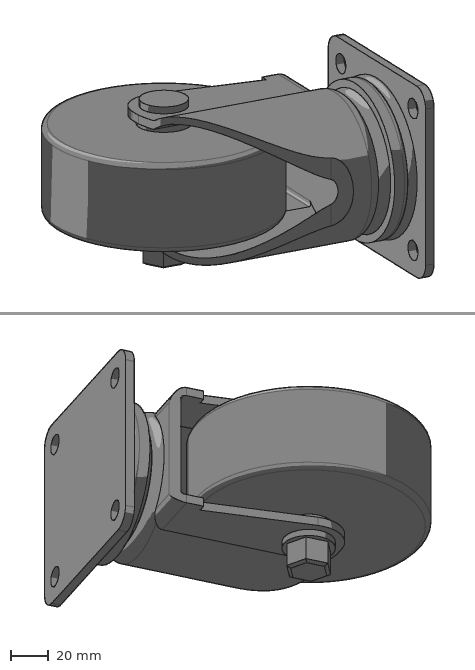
import cadquery as cq
import math


plate_side = 108.0
plate_thickness = 5.1
plate_corner_radius = 10.0
bolt_hole_spacing = 80.0
bolt_hole_diameter = 11.0

total_height = 177.0
wheel_radius = 65.0
wheel_width = 50.1
wheel_edge_radius = 3.0
axle_x = -40.0
axle_y = wheel_radius - total_height

lip_radius = 44.6
groove_radius = 42.3
groove_y = -9.5
race_radius = 44.0
race_shoulder_y = -12.4
race_bottom_y = -18.4
neck_top_radius = 39.6
neck_bottom_radius = 34.7
arc_bulge = 0.7

housing_radius = 41.0
housing_inner_radius = 37.0
housing_top_y = -23.7
housing_edge_radius = 6.9
leg_outer_z = 34.9
leg_thickness = 5.0
leg_inner_z = leg_outer_z - leg_thickness
bend_outer_radius = 7.0
bend_inner_radius = 2.1
bridge_top_y = -28.1
bridge_thickness = 4.0
ceiling_y = bridge_top_y - bridge_thickness

leg_front_x = -54.2
notch_x = -49.5
notch_y = -45.1
leg_end_radius = 19.1
sweep_radius = 85.0
sweep_x = -48.5
sweep_y = -47.6
rear_fillet_radius = 17.7
rear_edge_y = -36.1
rear_reach_x = 70.8

head_radius = 13.1
head_top_z = 38.8
upper_spacer_radius = 14.9
lower_spacer_radius = 13.1
washer_radius = 14.2
washer_thickness = 3.7
nut_across_flats = 22.0
nut_end_z = -53.0
nut_chamfer_height = 1.2
nut_chamfer_inset = 2.0


def bulged_point(start, end, bulge):
    """Point at distance `bulge` to the left of the middle of the chord start-end."""
    dx = end[0] - start[0]
    dy = end[1] - start[1]
    chord = math.hypot(dx, dy)
    return (
        (start[0] + end[0]) / 2 + bulge * -dy / chord,
        (start[1] + end[1]) / 2 + bulge * dx / chord,
    )


def make_plate():
    return (
        cq.Workplane("XZ")
        .rect(plate_side, plate_side)
        .extrude(plate_thickness)
        .edges("|Y")
        .fillet(plate_corner_radius)
        .faces("<Y")
        .workplane()
        .rect(bolt_hole_spacing, bolt_hole_spacing, forConstruction=True)
        .vertices()
        .hole(bolt_hole_diameter)
    )


def make_bearing():
    lip = (lip_radius, -plate_thickness)
    groove = (groove_radius, groove_y)
    shoulder = (race_radius, race_shoulder_y)
    neck_top = (neck_top_radius, race_bottom_y)
    neck_bottom = (neck_bottom_radius, housing_top_y)
    return (
        cq.Workplane("XY")
        .moveTo(0, -plate_thickness)
        .lineTo(*lip)
        .threePointArc(bulged_point(lip, groove, arc_bulge), groove)
        .threePointArc(bulged_point(groove, shoulder, arc_bulge), shoulder)
        .lineTo(race_radius, race_bottom_y)
        .lineTo(*neck_top)
        .threePointArc(bulged_point(neck_top, neck_bottom, arc_bulge), neck_bottom)
        .lineTo(0, housing_top_y)
        .close()
        .revolve(360, (0, 0, 0), (0, 1, 0))
    )


def channel_block(length, half_width, top_y, bend_radius):
    """Block reaching from the swivel axis toward -X, with its two upper long edges rounded."""
    return (
        cq.Workplane("XY")
        .box(length, top_y + total_height, 2 * half_width, centered=(False, False, True))
        .translate((-length, -total_height, 0))
        .edges("|X and >Y")
        .fillet(bend_radius)
    )


def fork_side_outline():
    """Outline of the fork along Z, extruded across its whole width."""
    to_notch_x = notch_x - axle_x
    to_notch_y = notch_y - axle_y
    tangent_angle = math.atan2(to_notch_y, to_notch_x) + math.acos(
        leg_end_radius / math.hypot(to_notch_x, to_notch_y)
    )
    leg_tangent = (
        axle_x + leg_end_radius * math.cos(tangent_angle),
        axle_y + leg_end_radius * math.sin(tangent_angle),
    )
    middle_angle = (tangent_angle + 1.5 * math.pi) / 2
    leg_end_middle = (
        axle_x + leg_end_radius * math.cos(middle_angle),
        axle_y + leg_end_radius * math.sin(middle_angle),
    )

    leg_bottom_y = axle_y - leg_end_radius
    sweep_start_angle = math.asin((leg_bottom_y - sweep_y) / sweep_radius)

    fillet_y = rear_edge_y - rear_fillet_radius
    sweep_end_angle = math.asin((fillet_y - sweep_y) / (sweep_radius + rear_fillet_radius))
    fillet_x = sweep_x + (sweep_radius + rear_fillet_radius) * math.cos(sweep_end_angle)
    fillet_middle_angle = (math.pi + sweep_end_angle + math.pi / 2) / 2

    def on_sweep(angle):
        return (sweep_x + sweep_radius * math.cos(angle), sweep_y + sweep_radius * math.sin(angle))

    fillet_middle = (
        fillet_x + rear_fillet_radius * math.cos(fillet_middle_angle),
        fillet_y + rear_fillet_radius * math.sin(fillet_middle_angle),
    )
    corner_cut = bend_outer_radius * (1 - math.sqrt(0.5))

    return (
        cq.Workplane("XY")
        .moveTo(leg_front_x, notch_y)
        .lineTo(notch_x, notch_y)
        .lineTo(*leg_tangent)
        .threePointArc(leg_end_middle, (axle_x, leg_bottom_y))
        .lineTo(*on_sweep(sweep_start_angle))
        .threePointArc(on_sweep((sweep_start_angle + sweep_end_angle) / 2), on_sweep(sweep_end_angle))
        .threePointArc(fillet_middle, (fillet_x, rear_edge_y))
        .lineTo(rear_reach_x, rear_edge_y)
        .lineTo(rear_reach_x, 0)
        .lineTo(leg_front_x + bend_outer_radius, 0)
        .lineTo(leg_front_x + bend_outer_radius, bridge_top_y)
        .threePointArc(
            (leg_front_x + corner_cut, bridge_top_y - corner_cut),
            (leg_front_x, bridge_top_y - bend_outer_radius),
        )
        .close()
        .extrude(plate_side / 2, both=True)
    )


def make_fork():
    housing = (
        cq.Workplane("XZ", origin=(0, housing_top_y, 0))
        .circle(housing_radius)
        .extrude(total_height + housing_top_y)
        .faces(">Y")
        .edges()
        .fillet(housing_edge_radius)
    )
    bore = (
        cq.Workplane("XZ", origin=(0, ceiling_y, 0))
        .circle(housing_inner_radius)
        .extrude(total_height + ceiling_y)
    )
    leg_reach = leg_end_radius - axle_x
    legs = channel_block(leg_reach, leg_outer_z, bridge_top_y, bend_outer_radius)
    front_opening = channel_block(2 * housing_radius, leg_inner_z, ceiling_y, bend_inner_radius)
    return housing.union(legs).cut(bore).cut(front_opening).intersect(fork_side_outline())


def axle_disc(radius, bottom_z, top_z):
    return (
        cq.Workplane("XY", origin=(axle_x, axle_y, bottom_z))
        .circle(radius)
        .extrude(top_z - bottom_z)
    )


def make_wheel():
    half_width = wheel_width / 2
    return axle_disc(wheel_radius, -half_width, half_width).edges().fillet(wheel_edge_radius)


def make_axle():
    half_width = wheel_width / 2
    washer_bottom_z = -leg_outer_z - washer_thickness
    nut_corner_diameter = nut_across_flats / math.cos(math.pi / 6)
    nut = (
        cq.Workplane("XY", origin=(axle_x, axle_y, nut_end_z))
        .transformed(rotate=(0, 0, 90))
        .polygon(6, nut_corner_diameter)
        .extrude(washer_bottom_z - nut_end_z)
        .faces("<Z")
        .chamfer(nut_chamfer_height, nut_chamfer_inset)
    )
    return (
        axle_disc(head_radius, leg_inner_z, head_top_z)
        .union(axle_disc(upper_spacer_radius, half_width, leg_inner_z))
        .union(axle_disc(lower_spacer_radius, -leg_outer_z, -half_width))
        .union(axle_disc(washer_radius, washer_bottom_z, -leg_outer_z))
        .union(nut)
    )


result = (
    make_plate()
    .union(make_bearing())
    .union(make_fork())
    .union(make_wheel())
    .union(make_axle())
)